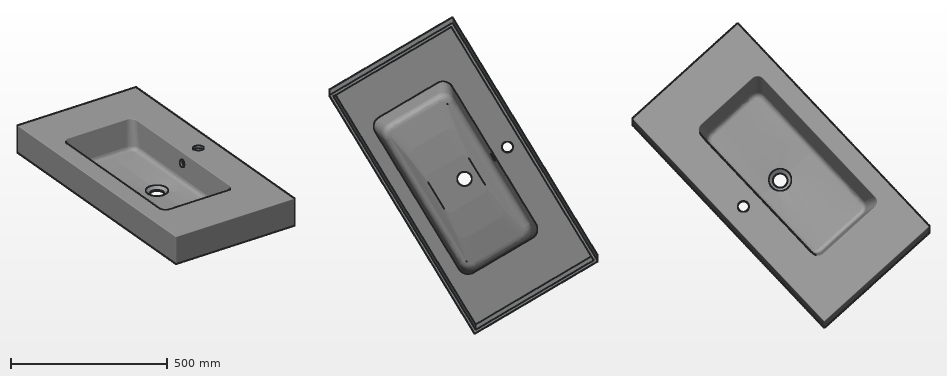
import cadquery as cq
import math

length = 905.0
width = 460.0
skirt_height = 100.0
total_height = 120.0
wall = 10.0
edge_round = 2.3

opening_length = 574.0
opening_front = -166.0
opening_back = 105.0
opening_corner = 23.5
rim_round = 2.0

foot_length = 523.0
foot_front = -139.0
foot_back = 93.0
foot_corner = 30.0
foot_depth = 97.0
foot_round = 15.0

pad_length = 145.0
pad_front = -101.0
pad_back = 51.0
pad_corner = 22.0
pad_height = 4.5
pad_end_spread = 95.0
pad_side_spread = 11.0

drain_y = 4.0
mouth_diameter = 72.0
drain_diameter = 46.0
mouth_depth = 106.0
drain_cone_depth = 10.0

on_axis = 0.01

tap_y = 164.0
tap_diameter = 35.0
overflow_depth = 37.0
overflow_diameter = 25.0


def rounded_rectangle(x_length, front, back, corner, z):
    """Horizontal rounded rectangle, centred on x = 0 and running from front to back in y."""
    block = cq.Workplane(origin=(0, (front + back) / 2, z)).rect(x_length, back - front).extrude(9)
    return block.edges("|Z").fillet(corner).faces("<Z").wires().val()


def basin_walls(growth):
    """Tapered basin body with a rounded foot, grown outward and downward by the given thickness."""
    top = rounded_rectangle(
        opening_length + 2 * growth,
        opening_front - growth,
        opening_back + growth,
        opening_corner + growth,
        0,
    )
    foot = rounded_rectangle(
        foot_length + 2 * growth,
        foot_front - growth,
        foot_back + growth,
        foot_corner + growth,
        -foot_depth - growth,
    )
    body = cq.Workplane(cq.Solid.makeLoft([foot, top], True))
    return body.faces("<Z").edges().fillet(foot_round + growth)


def floor_quarter(foot, x_side, y_side):
    """Smooth floor patch between a quarter of the foot outline and of the drain mouth."""
    middle = (x_side * length / 2, drain_y + y_side * length / 2, foot.Center().z)
    quarter = foot.intersect(cq.Workplane(origin=middle).box(length, length, 9).val())
    corners = [vertex.Center() for vertex in quarter.Vertices()]
    on_x_axis = [point for point in corners if abs(point.y - drain_y) < on_axis]
    on_y_axis = [point for point in corners if abs(point.x) < on_axis]
    x_end = max(on_x_axis, key=lambda point: abs(point.x))
    y_end = max(on_y_axis, key=lambda point: abs(point.y - drain_y))
    outline = [
        edge
        for edge in quarter.Edges()
        if abs(edge.Center().x) > on_axis and abs(edge.Center().y - drain_y) > on_axis
    ]

    radius = mouth_diameter / 2
    diagonal = radius * math.sqrt(0.5)
    mouth_x = cq.Vector(x_side * radius, drain_y, -mouth_depth)
    mouth_y = cq.Vector(0, drain_y + y_side * radius, -mouth_depth)
    mouth_middle = cq.Vector(x_side * diagonal, drain_y + y_side * diagonal, -mouth_depth)
    inner_edges = [
        cq.Edge.makeLine(x_end, mouth_x),
        cq.Edge.makeThreePointArc(mouth_x, mouth_middle, mouth_y),
        cq.Edge.makeLine(mouth_y, y_end),
    ]
    return cq.Face.makeNSidedSurface(outline + inner_edges, [])


def make_cavity():
    """Inside of the basin: tapered walls, rounded foot and a floor falling to the drain."""
    walls = basin_walls(0)
    foot = walls.faces("<Z").val()
    faces = walls.faces("not <Z").vals()
    for x_side in (-1, 1):
        for y_side in (-1, 1):
            faces.append(floor_quarter(foot, x_side, y_side))
    mouth = cq.Workplane(origin=(0, drain_y, -mouth_depth)).circle(mouth_diameter / 2)
    faces.append(cq.Face.makeFromWires(mouth.wires().val()))
    return cq.Workplane(cq.Solid.makeSolid(cq.Shell.makeShell(faces)))


def make_bowl():
    """Outside of the basin: grown walls, sloping underside and a flat pad below it."""
    walls = basin_walls(wall)
    pad_top = rounded_rectangle(
        pad_length + 2 * pad_end_spread,
        pad_front - pad_side_spread,
        pad_back + pad_side_spread,
        pad_corner + pad_side_spread,
        pad_height - total_height,
    )
    pad = rounded_rectangle(pad_length, pad_front, pad_back, pad_corner, -total_height)
    foot = walls.faces("<Z").wires().val()
    underside = cq.Workplane(cq.Solid.makeLoft([pad_top, foot], True))
    pad_body = cq.Workplane(cq.Solid.makeLoft([pad, pad_top], True))
    return walls.union(underside).union(pad_body)


def make_slab():
    """Countertop slab with rounded outer edges, hollowed from below."""
    block = cq.Workplane().box(length, width, skirt_height, centered=(True, True, False))
    block = block.edges("|Z or >Z").fillet(edge_round)
    hollow = cq.Workplane().box(
        length - 2 * wall,
        width - 2 * wall,
        skirt_height - wall,
        centered=(True, True, False),
    )
    return block.cut(hollow).translate((0, 0, -skirt_height))


def make_drain():
    mouth = cq.Workplane(origin=(0, drain_y, -mouth_depth)).circle(mouth_diameter / 2)
    cone = mouth.workplane(offset=-drain_cone_depth).circle(drain_diameter / 2).loft(ruled=True)
    hole = cq.Workplane(origin=(0, drain_y, -mouth_depth)).circle(drain_diameter / 2)
    return cone.union(hole.extrude(-total_height))


def make_tap_hole():
    return cq.Workplane().center(0, tap_y).circle(tap_diameter / 2).extrude(-2 * wall)


def make_overflow():
    outline = cq.Workplane("XZ").center(0, -overflow_depth).circle(overflow_diameter / 2)
    return outline.extrude(-opening_back - 2 * wall)


basin = make_slab().union(make_bowl()).cut(make_cavity())

rim_zone = cq.selectors.BoxSelector(
    (-opening_length / 2 - wall, opening_front - wall, -wall / 2),
    (opening_length / 2 + wall, opening_back + wall, wall / 2),
)
basin = basin.edges(rim_zone).fillet(rim_round)

result = basin.cut(make_drain()).cut(make_tap_hole()).cut(make_overflow())